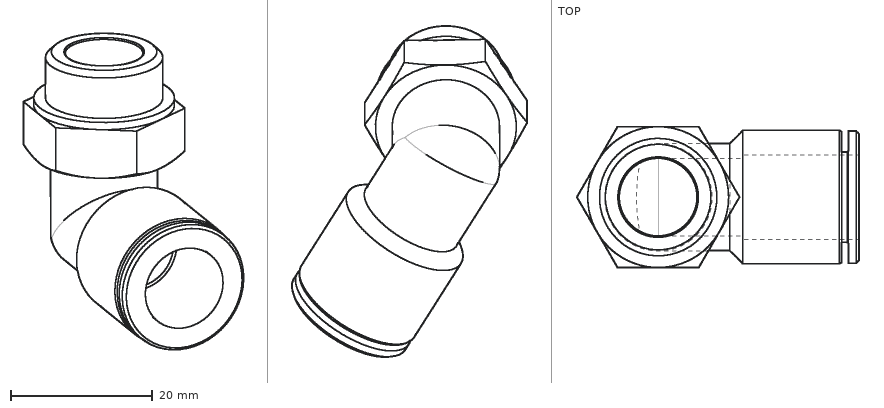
import cadquery as cq
import math


pipe_radius = 15.2 / 2
bore_radius = 11.0 / 2
corner_angle = 60
corner_offset = 1.45

cone_start = 10.15
sleeve_radius = 19.0 / 2
sleeve_end = 26.05
sleeve_chamfer_length = 0.35
sleeve_chamfer_height = 0.2
collet_radius = 12.8 / 2
collet_flare = 0.2
flange_radius = 18.8 / 2
flange_start = 27.0
flange_end = 28.5
flange_chamfer = 0.45
tube_radius = 12 / 2
cone_end = cone_start + sleeve_radius - pipe_radius

hex_across_flats = 20.0
hex_bottom = 10.57
hex_top = 17.95
collar_top = 19.02
thread_radius = 16.65 / 2
thread_top = 26.0
thread_chamfer = 0.85
mouth_chamfer = 0.2

hex_flat_radius = hex_across_flats / 2
hex_corner_radius = hex_flat_radius / math.cos(math.radians(30))
collar_radius = hex_flat_radius


def x_revolve(profile):
    """Revolve (x, radius) points about the tube leg axis."""
    return cq.Workplane("XZ").polyline(profile).close().revolve(360, (0, 0, 0), (1, 0, 0))


def z_revolve(profile):
    """Revolve (radius, z) points about the threaded leg axis."""
    return cq.Workplane("XZ").polyline(profile).close().revolve(360, (0, 0, 0), (0, 1, 0))


def keep_inside(leg, tilt):
    """Part of a leg on one side of a tilted plane through the corner pivot.

    The plane contains the pivot's Y direction. It points along tilt, measured from +X toward +Z,
    and the material 90 degrees further round is kept.
    """
    size = 4 * thread_top
    half_space = (
        cq.Workplane("XY")
        .box(size, size, size, centered=(True, True, False))
        .rotate((0, 0, 0), (0, 1, 0), -tilt)
        .translate((-corner_offset, 0, -corner_offset))
    )
    return leg.intersect(half_space)


def mitred_pipe():
    """Two pipe legs joined on a 45 degree miter, with a swept outer corner."""
    corner_tilt = (90 - corner_angle) / 2
    upright = cq.Workplane("XY").workplane(offset=-pipe_radius).circle(pipe_radius)
    upright = upright.extrude(hex_bottom + pipe_radius)
    level = cq.Workplane("YZ").workplane(offset=-pipe_radius).circle(pipe_radius)
    level = level.extrude(cone_start + pipe_radius)

    upright = keep_inside(keep_inside(upright, 45), corner_tilt)
    level = keep_inside(keep_inside(level, 225), 180 + 90 - corner_tilt)
    return upright.union(level).union(outer_corner(corner_tilt))


def outer_corner(tilt):
    """Elliptical end section of the upright leg swept about the corner pivot."""
    angle = math.radians(tilt)
    stretch = 1 / math.cos(angle)
    start = math.degrees(math.acos(corner_offset / pipe_radius))
    section = cq.Plane(
        origin=(-corner_offset, 0, -corner_offset),
        xDir=(-math.cos(angle), 0, -math.sin(angle)),
        normal=(math.sin(angle), 0, -math.cos(angle)),
    )
    half_width = math.sqrt(pipe_radius**2 - corner_offset**2)
    return (
        cq.Workplane(section)
        .center(-corner_offset * stretch, 0)
        .ellipseArc(pipe_radius * stretch, pipe_radius, -start, start, startAtCurrent=False)
        .close()
        .revolve(
            corner_angle,
            (corner_offset * stretch, half_width, 0),
            (corner_offset * stretch, -half_width, 0),
        )
    )


def tube_sleeve():
    """Coned sleeve, collet neck and release flange of the tube leg."""
    return x_revolve([
        (cone_start, 0),
        (cone_start, pipe_radius),
        (cone_end, sleeve_radius),
        (sleeve_end - sleeve_chamfer_length, sleeve_radius),
        (sleeve_end, sleeve_radius - sleeve_chamfer_height),
        (sleeve_end, collet_radius),
        (flange_start - collet_flare, collet_radius),
        (flange_start, collet_radius + collet_flare),
        (flange_start, flange_radius),
        (flange_end - flange_chamfer, flange_radius),
        (flange_end, flange_radius - flange_chamfer),
        (flange_end, 0),
    ])


def hex_nut():
    """Hexagon with corners on X and a 30 degree chamfer on its lower side."""
    chamfer_height = (hex_corner_radius - hex_flat_radius) * math.tan(math.radians(30))
    hexagon = cq.Workplane("XY").workplane(offset=hex_bottom).polygon(6, 2 * hex_corner_radius)
    envelope = z_revolve([
        (0, hex_bottom),
        (hex_flat_radius, hex_bottom),
        (hex_corner_radius, hex_bottom + chamfer_height),
        (hex_corner_radius, hex_top),
        (0, hex_top),
    ])
    return hexagon.extrude(hex_top - hex_bottom).intersect(envelope)


def threaded_end():
    """Sealing collar and plain thread cylinder above the hexagon."""
    return z_revolve([
        (0, hex_top),
        (collar_radius, hex_top),
        (collar_radius, collar_top),
        (thread_radius, collar_top),
        (thread_radius, thread_top - thread_chamfer),
        (thread_radius - thread_chamfer, thread_top),
        (0, thread_top),
    ])


def passage():
    """Flow bores with a spherical bend, a chamfered mouth and a wider tube socket."""
    vertical = z_revolve([
        (0, 0),
        (bore_radius, 0),
        (bore_radius, thread_top - mouth_chamfer),
        (bore_radius + mouth_chamfer, thread_top),
        (0, thread_top),
    ])
    horizontal = x_revolve([
        (0, 0),
        (0, bore_radius),
        (cone_end, bore_radius),
        (cone_end, tube_radius),
        (flange_end, tube_radius),
        (flange_end, 0),
    ])
    bend = cq.Workplane("XY").sphere(bore_radius)
    return vertical.union(horizontal).union(bend)


body = mitred_pipe().union(tube_sleeve()).union(hex_nut()).union(threaded_end())
result = body.cut(passage())